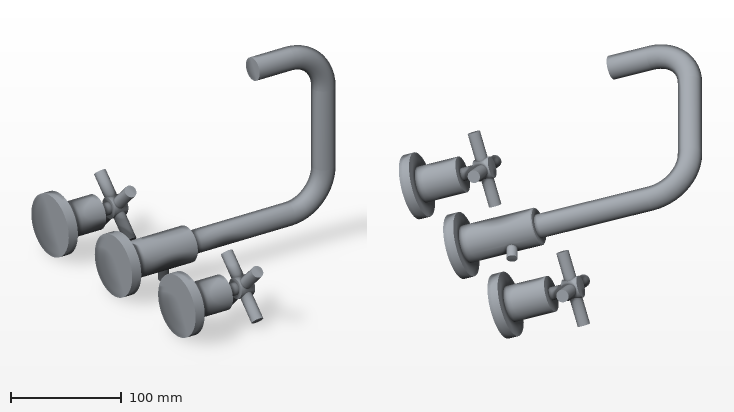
import cadquery as cq
import math

FLANGE_DIAMETER = 60.0
FLANGE_THICKNESS = 10.0
OVERALL_WIDTH = 263.3
HANDLE_OFFSET = (OVERALL_WIDTH - FLANGE_DIAMETER) / 2

SPOUT_BASE_DIAMETER = 34.8
SPOUT_BASE_END = 81.4
SPOUT_BASE_CHAMFER = 0.8
PIPE_DIAMETER = 22.0
PIPE_BEND_RADIUS = 38.5
OVERALL_DEPTH = 241.2
OVERALL_HEIGHT = 197.0
PIPE_RISER_Y = OVERALL_DEPTH - PIPE_DIAMETER / 2
PIPE_TOP_Z = OVERALL_HEIGHT - FLANGE_DIAMETER / 2 - PIPE_DIAMETER / 2
PIPE_TIP_Y = 152.7

PIN_DIAMETER = 10.0
PIN_Y = 55.0
PIN_REACH = 28.5

HANDLE_BASE_DIAMETER = 33.5
HANDLE_BASE_LENGTH = 40.0
STEM_DIAMETER = 12.0
STEM_LENGTH = 14.0
HUB_DIAMETER = 20.0
HUB_LENGTH = 15.0
ROD_DIAMETER = 11.5
ROD_REACH = 34.8
ROD_ANGLES = (45, 135)


def cylinder_along_y(diameter, start, end):
    """Cylinder on the Y axis between two Y positions."""
    return cq.Workplane(
        cq.Solid.makeCylinder(diameter / 2, end - start, cq.Vector(0, start, 0), cq.Vector(0, 1, 0))
    )


def make_flange():
    return cylinder_along_y(FLANGE_DIAMETER, 0, FLANGE_THICKNESS)


def make_pipe():
    """Pipe that runs out from the base, rises and turns back toward the wall."""
    mid_bend = PIPE_BEND_RADIUS * math.sqrt(0.5)
    bend_y = PIPE_RISER_Y - PIPE_BEND_RADIUS
    upper_bend_z = PIPE_TOP_Z - PIPE_BEND_RADIUS
    path = (
        cq.Workplane("YZ")
        .moveTo(FLANGE_THICKNESS, 0)
        .lineTo(bend_y, 0)
        .threePointArc(
            (bend_y + mid_bend, PIPE_BEND_RADIUS - mid_bend),
            (PIPE_RISER_Y, PIPE_BEND_RADIUS),
        )
        .lineTo(PIPE_RISER_Y, upper_bend_z)
        .threePointArc((bend_y + mid_bend, upper_bend_z + mid_bend), (bend_y, PIPE_TOP_Z))
        .lineTo(PIPE_TIP_Y, PIPE_TOP_Z)
    )
    profile_plane = cq.Plane(origin=(0, FLANGE_THICKNESS, 0), xDir=(1, 0, 0), normal=(0, 1, 0))
    return cq.Workplane(profile_plane).circle(PIPE_DIAMETER / 2).sweep(path)


def make_pin():
    """Pin that points straight down from the axis of the spout base."""
    return cq.Workplane("XY").center(0, PIN_Y).circle(PIN_DIAMETER / 2).extrude(-PIN_REACH)


def make_spout():
    base = cylinder_along_y(SPOUT_BASE_DIAMETER, FLANGE_THICKNESS, SPOUT_BASE_END).faces(">Y").chamfer(SPOUT_BASE_CHAMFER)
    return make_flange().union(base).union(make_pipe()).union(make_pin()).solids().val()


def make_rod(angle, centre_y):
    """Cross rod through the hub, turned about the Y axis."""
    rod = (
        cq.Workplane("XY")
        .center(0, centre_y)
        .circle(ROD_DIAMETER / 2)
        .extrude(ROD_REACH, both=True)
    )
    return rod.rotate((0, 0, 0), (0, 1, 0), angle)


def make_handle(x):
    """Cross handle on its flange, centred at the given X."""
    base_end = FLANGE_THICKNESS + HANDLE_BASE_LENGTH
    stem_end = base_end + STEM_LENGTH
    hub_end = stem_end + HUB_LENGTH
    handle = (
        make_flange()
        .union(cylinder_along_y(HANDLE_BASE_DIAMETER, FLANGE_THICKNESS, base_end))
        .union(cylinder_along_y(STEM_DIAMETER, base_end, stem_end))
        .union(cylinder_along_y(HUB_DIAMETER, stem_end, hub_end))
    )
    for angle in ROD_ANGLES:
        handle = handle.union(make_rod(angle, (stem_end + hub_end) / 2))
    return handle.translate((x, 0, 0)).solids().val()


spout = make_spout()
handles = [make_handle(side * HANDLE_OFFSET) for side in (-1, 1)]

result = cq.Compound.makeCompound([spout, *handles])